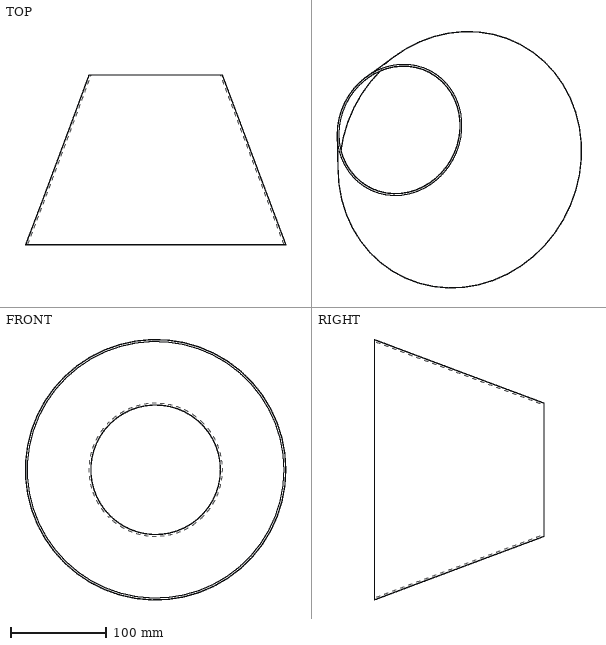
import math

import cadquery as cq

large_diameter = 273.0
small_diameter = 139.7
length = 178.0
wall = 2.0

large_radius = large_diameter / 2
small_radius = small_diameter / 2
half_angle = math.atan((large_radius - small_radius) / length)
radial_wall = wall / math.cos(half_angle)


def reducer_shell():
    """Revolve the slanted wall section about Y, with the large end at Y = 0."""
    wall_section = (
        cq.Workplane("XY")
        .moveTo(large_radius - radial_wall, 0)
        .lineTo(large_radius, 0)
        .lineTo(small_radius, length)
        .lineTo(small_radius - radial_wall, length)
        .close()
    )
    return wall_section.revolve(360, (0, 0, 0), (0, 1, 0))


result = reducer_shell()